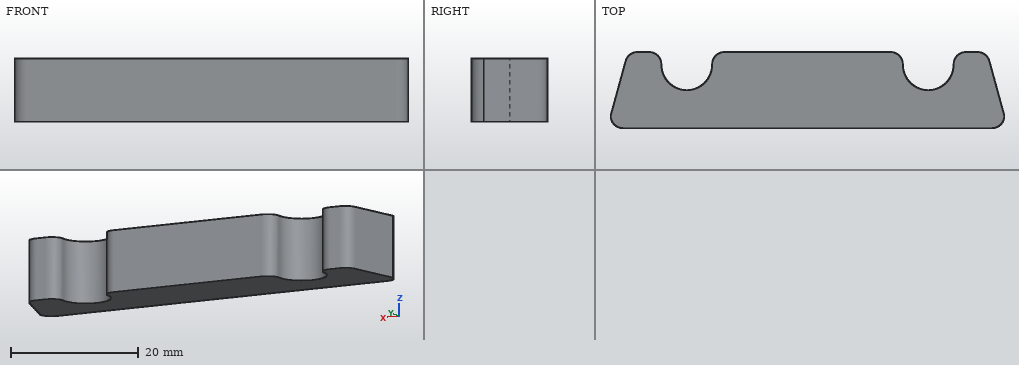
import cadquery as cq

length = 62.0
width = 12.0
thickness = 10.0

corner_radius = 2.0
back_length = 56.5
notch_radius = 3.95
notch_spacing = 38.0
notch_depth = 6.0

half_length = length / 2
half_back = back_length / 2
back_y = width / 2


def make_body():
    """Tapered bar with quarter-round front corners, centred on the origin in X and Y."""
    flat_end_x = half_length - corner_radius
    taper_start_y = corner_radius - back_y
    return (
        cq.Workplane("XY")
        .moveTo(-flat_end_x, -back_y)
        .lineTo(flat_end_x, -back_y)
        .tangentArcPoint((half_length, taper_start_y), relative=False)
        .lineTo(half_back, back_y)
        .lineTo(-half_back, back_y)
        .lineTo(-half_length, taper_start_y)
        .radiusArc((-flat_end_x, -back_y), -corner_radius)
        .close()
        .extrude(thickness)
    )


def make_notch(center_x):
    """Round-bottomed slot open at the +Y face."""
    arc_center_y = back_y - notch_depth + notch_radius
    return (
        cq.Workplane("XY")
        .moveTo(center_x - notch_radius, back_y)
        .lineTo(center_x - notch_radius, arc_center_y)
        .threePointArc((center_x, back_y - notch_depth), (center_x + notch_radius, arc_center_y))
        .lineTo(center_x + notch_radius, back_y)
        .close()
        .extrude(thickness)
    )


body = make_body()
for side in (-1, 1):
    body = body.cut(make_notch(side * notch_spacing / 2))

result = body.faces(">Y").edges("|Z").fillet(corner_radius)